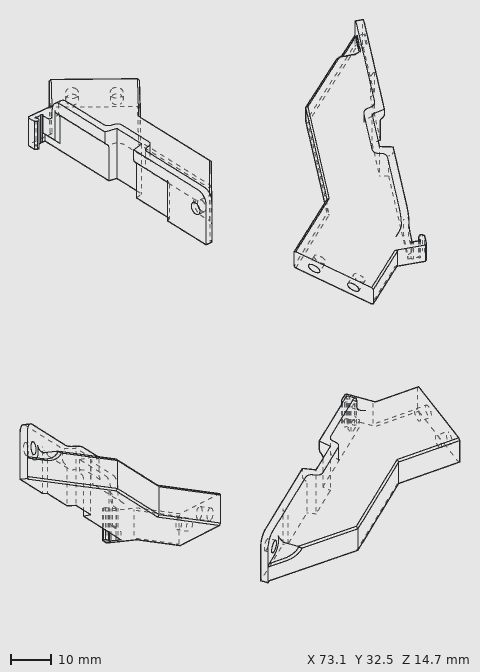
import cadquery as cq
import math

LENGTH = 73.05
WIDTH = 32.5
HEIGHT = 14.7

PLATE_HEIGHT = 8.2
EDGE_CHAMFER = 0.5
ARM_ANGLE = math.radians(40)
ARM_WIDTH = 22.35
BACK_Y = 21.55
BACK_END_X = 54.1

WALL_FRONT_Y = 3.35
WALL_THICKNESS = 2.0
WALL_BACK_Y = WALL_FRONT_Y + WALL_THICKNESS
WALL_START_X = 15.05
WALL_CORNER_RADIUS = 3.0
FOOT_RADIUS = 2.0
NOTCH_CENTER_X = 40.3
NOTCH_MOUTH_WIDTH = 10.9
NOTCH_FLOOR_WIDTH = 9.35
NOTCH_DEPTH = 3.3
NOTCH_FLOOR_Y = WALL_FRONT_Y + NOTCH_DEPTH
BUMP_RADIUS = 1.5

HOOK_LEFT_X = 9.6
HOOK_STEM_X = 11.1
HOOK_TIP_X = 12.7
HOOK_TIP_THICKNESS = 1.5
HOOK_LEFT_CHAMFER = 0.4
HOOK_TIP_CHAMFER = 0.5
RELIEF_DIAMETER = 0.5

HOLE_DIAMETER = 3.2
WALL_HOLE_X = 69.1
WALL_HOLE_Z = 8.8
CLEARANCE_RADIUS = 3.0
ARM_HOLE_SPACING = 11.0
ARM_HOLE_DEPTH = 3.0

RECESS_DEPTH = 1.1
RECESS_SIDE_DRAFT = 0.6
RECESS_LEFT_X = 16.1
RECESS_RIGHT_X = 58.6
RECESS_TOP = 11.9
RECESS_BLEND_HEIGHT = 2.2
CHANNEL_TOP = 3.15

FIT = 0.01

LEFT_TIP = (0, WIDTH - ARM_WIDTH * math.cos(ARM_ANGLE))
TOP_TIP = (ARM_WIDTH * math.sin(ARM_ANGLE), WIDTH)
ARM_ROOT = (TOP_TIP[0] + (WIDTH - BACK_Y) / math.tan(ARM_ANGLE), BACK_Y)
BACK_END = (BACK_END_X, BACK_Y)
RIGHT_TIP = (LENGTH, WALL_BACK_Y)
HOOK_SHOULDER = (HOOK_LEFT_X, LEFT_TIP[1] - HOOK_LEFT_X * math.tan(ARM_ANGLE))


def xz_sketch(y):
    """Sketch with local axes X and Z; a negative extrusion runs toward +Y."""
    return cq.Workplane("XZ", origin=(0, y, 0))


def clearance():
    """Round-bottomed space behind the wall hole, open toward the right tip."""
    reach = WALL_BACK_Y - BACK_Y
    width = LENGTH - WALL_HOLE_X
    floor_z = WALL_HOLE_Z - CLEARANCE_RADIUS
    round_end = (
        xz_sketch(WALL_BACK_Y)
        .center(WALL_HOLE_X, WALL_HOLE_Z)
        .circle(CLEARANCE_RADIUS)
        .extrude(reach)
    )
    open_end = (
        xz_sketch(WALL_BACK_Y)
        .moveTo(WALL_HOLE_X, floor_z)
        .rect(width, HEIGHT - floor_z, centered=False)
        .extrude(reach)
    )
    return round_end.union(open_end)


def lies_along(edge, start, end):
    """True for a level or curved edge in the upright side face from start to end."""
    center = edge.Center()
    run_x = end[0] - start[0]
    run_y = end[1] - start[1]
    offset = abs(run_x * (center.y - start[1]) - run_y * (center.x - start[0])) / math.hypot(run_x, run_y)
    inside = min(start[0], end[0]) < center.x < max(start[0], end[0])
    return offset < FIT and inside


def plate():
    """Flat body with the tilted arm, beveled along its left, arm and back sides."""
    outline = [
        LEFT_TIP,
        TOP_TIP,
        ARM_ROOT,
        BACK_END,
        RIGHT_TIP,
        (LENGTH, WALL_FRONT_Y),
        (HOOK_LEFT_X, WALL_FRONT_Y),
        HOOK_SHOULDER,
    ]
    body = cq.Workplane("XY").polyline(outline).close().extrude(PLATE_HEIGHT).cut(clearance())
    beveled_sides = [
        (HOOK_SHOULDER, LEFT_TIP),
        (TOP_TIP, ARM_ROOT),
        (ARM_ROOT, BACK_END),
        (BACK_END, RIGHT_TIP),
    ]
    edges = [
        edge
        for edge in body.edges().vals()
        if any(lies_along(edge, *side) for side in beveled_sides)
    ]
    return body.newObject(edges).chamfer(EDGE_CHAMFER)


def hook():
    """Forward-reaching stem with a short tip turned toward the wall's right end."""
    return (
        cq.Workplane("XY")
        .moveTo(HOOK_LEFT_X + HOOK_LEFT_CHAMFER, 0)
        .lineTo(HOOK_TIP_X - HOOK_TIP_CHAMFER, 0)
        .lineTo(HOOK_TIP_X, HOOK_TIP_CHAMFER)
        .lineTo(HOOK_TIP_X, HOOK_TIP_THICKNESS - HOOK_TIP_CHAMFER)
        .lineTo(HOOK_TIP_X - HOOK_TIP_CHAMFER, HOOK_TIP_THICKNESS)
        .lineTo(HOOK_STEM_X, HOOK_TIP_THICKNESS)
        .lineTo(HOOK_STEM_X, WALL_FRONT_Y)
        .lineTo(HOOK_LEFT_X, WALL_FRONT_Y)
        .lineTo(HOOK_LEFT_X, HOOK_LEFT_CHAMFER)
        .close()
        .extrude(PLATE_HEIGHT)
    )


def hook_reliefs():
    """Small round reliefs in the two inner corners of the hook."""
    corners = [(HOOK_STEM_X, HOOK_TIP_THICKNESS), (HOOK_STEM_X, WALL_FRONT_Y)]
    return cq.Workplane("XY").pushPoints(corners).circle(RELIEF_DIAMETER / 2).extrude(PLATE_HEIGHT)


def notch_sketch():
    """Trapezoid that opens toward the front of the wall."""
    return (
        cq.Workplane("XY")
        .moveTo(NOTCH_CENTER_X - NOTCH_MOUTH_WIDTH / 2, WALL_FRONT_Y)
        .lineTo(NOTCH_CENTER_X - NOTCH_FLOOR_WIDTH / 2, NOTCH_FLOOR_Y)
        .lineTo(NOTCH_CENTER_X + NOTCH_FLOOR_WIDTH / 2, NOTCH_FLOOR_Y)
        .lineTo(NOTCH_CENTER_X + NOTCH_MOUTH_WIDTH / 2, WALL_FRONT_Y)
        .close()
    )


def foot_profile(plane, wall_offset=0):
    """Concave foot section; local X points away from the wall and local Y points up."""
    overlap = FOOT_RADIUS / 4
    bend = FOOT_RADIUS * (1 - math.sqrt(0.5))
    return (
        cq.Workplane(plane)
        .moveTo(wall_offset - overlap, 0)
        .lineTo(wall_offset + FOOT_RADIUS, 0)
        .threePointArc((wall_offset + bend, bend), (wall_offset, FOOT_RADIUS))
        .lineTo(wall_offset - overlap, FOOT_RADIUS)
        .close()
    )


def foot_run(start, end):
    """Foot along a straight stretch of wall, on the left hand when going from start to end."""
    run_x = end[0] - start[0]
    run_y = end[1] - start[1]
    plane = cq.Plane(origin=(*start, PLATE_HEIGHT), xDir=(-run_y, run_x, 0), normal=(run_x, run_y, 0))
    return foot_profile(plane).extrude(math.hypot(run_x, run_y))


def bump_foot():
    """Right half of the foot around the bump: straight back, corner, sloping side and inner bend."""
    turn = math.atan2(2 * NOTCH_DEPTH, NOTCH_MOUTH_WIDTH - NOTCH_FLOOR_WIDTH)
    out_x = math.sin(turn)
    out_y = math.cos(turn)
    bend_inset = WALL_THICKNESS - BUMP_RADIUS
    bend_x = NOTCH_CENTER_X + NOTCH_FLOOR_WIDTH / 2 + bend_inset * math.tan(turn / 2)
    bend_y = NOTCH_FLOOR_Y + bend_inset
    mouth_end_x = NOTCH_CENTER_X + NOTCH_MOUTH_WIDTH / 2

    back_y = bend_y + BUMP_RADIUS
    back = foot_run((NOTCH_CENTER_X, back_y), (bend_x, back_y))
    side = foot_run(
        (bend_x + BUMP_RADIUS * out_x, bend_y + BUMP_RADIUS * out_y),
        (mouth_end_x + WALL_THICKNESS * out_x, WALL_FRONT_Y + WALL_THICKNESS * out_y),
    )
    corner_plane = cq.Plane(
        origin=(bend_x, bend_y, PLATE_HEIGHT),
        xDir=(out_x, out_y, 0),
        normal=(out_y, -out_x, 0),
    )
    corner = foot_profile(corner_plane, BUMP_RADIUS).revolve(math.degrees(turn), (0, 0), (0, 1))

    slide = (bend_y + 2 * BUMP_RADIUS * out_y - WALL_BACK_Y - BUMP_RADIUS) / out_x
    root_plane = cq.Plane(
        origin=(
            bend_x + 2 * BUMP_RADIUS * out_x + slide * out_y,
            WALL_BACK_Y + BUMP_RADIUS,
            PLATE_HEIGHT,
        ),
        xDir=(-out_x, -out_y, 0),
        normal=(-out_y, out_x, 0),
    )
    height_at_axis = FOOT_RADIUS - math.sqrt(FOOT_RADIUS**2 - (FOOT_RADIUS - BUMP_RADIUS) ** 2)
    root = (
        cq.Workplane(root_plane)
        .lineTo(BUMP_RADIUS, 0)
        .lineTo(BUMP_RADIUS, FOOT_RADIUS)
        .radiusArc((0, height_at_axis), FOOT_RADIUS)
        .close()
        .revolve(math.degrees(turn), (0, 0), (0, 1))
    )
    return back.union(side).union(corner).union(root)


def foot():
    """Fillet between the plate and the back of the wall."""
    back = foot_run((WALL_START_X - FOOT_RADIUS, WALL_BACK_Y), (LENGTH, WALL_BACK_Y))
    right_half = bump_foot()
    left_half = right_half.mirror("YZ", (NOTCH_CENTER_X, 0, 0))
    return back.union(right_half).union(left_half).cut(clearance())


def wall_silhouette():
    """Front outline of the wall: rounded upper corners and a flared foot at the left end."""
    foot_x = WALL_START_X - FOOT_RADIUS
    foot_top = PLATE_HEIGHT + FOOT_RADIUS
    shoulder_z = HEIGHT - WALL_CORNER_RADIUS
    depth = NOTCH_FLOOR_Y + WALL_THICKNESS + FOOT_RADIUS - WALL_FRONT_Y
    return (
        xz_sketch(WALL_FRONT_Y)
        .moveTo(foot_x, 0)
        .lineTo(foot_x, PLATE_HEIGHT)
        .radiusArc((WALL_START_X, foot_top), -FOOT_RADIUS)
        .lineTo(WALL_START_X, shoulder_z)
        .radiusArc((WALL_START_X + WALL_CORNER_RADIUS, HEIGHT), WALL_CORNER_RADIUS)
        .lineTo(LENGTH - WALL_CORNER_RADIUS, HEIGHT)
        .radiusArc((LENGTH, shoulder_z), WALL_CORNER_RADIUS)
        .lineTo(LENGTH, 0)
        .close()
        .extrude(-depth)
    )


def wall():
    """Upright wall of even thickness that bulges backward around the notch."""
    strip = (
        cq.Workplane("XY")
        .moveTo(WALL_START_X - FOOT_RADIUS, WALL_FRONT_Y)
        .rect(LENGTH - WALL_START_X + FOOT_RADIUS, WALL_THICKNESS, centered=False)
        .extrude(HEIGHT)
    )
    bump = notch_sketch().offset2D(WALL_THICKNESS, "intersection").extrude(HEIGHT)
    below_strip = cq.Workplane("XY").rect(LENGTH * 2, WALL_FRONT_Y * 2).extrude(HEIGHT)
    body = strip.union(bump.cut(below_strip))
    bump_corners = cq.selectors.BoxSelector(
        (NOTCH_CENTER_X - NOTCH_MOUTH_WIDTH, WALL_BACK_Y - FIT, 0),
        (NOTCH_CENTER_X + NOTCH_MOUTH_WIDTH, NOTCH_FLOOR_Y + WALL_THICKNESS + FIT, HEIGHT),
    )
    body = body.edges("|Z").edges(bump_corners).fillet(BUMP_RADIUS)
    return body.union(foot()).intersect(wall_silhouette())


def recess():
    """Recess open at the bottom, with an S-shaped top and drafted ends."""
    floor_y = WALL_FRONT_Y + RECESS_DEPTH
    middle = ((WALL_FRONT_Y + floor_y) / 2, RECESS_TOP - RECESS_BLEND_HEIGHT / 2)
    blend_radius = (RECESS_DEPTH**2 + RECESS_BLEND_HEIGHT**2) / (4 * RECESS_DEPTH)
    section = (
        cq.Workplane("YZ")
        .moveTo(WALL_FRONT_Y, 0)
        .lineTo(WALL_FRONT_Y, RECESS_TOP)
        .radiusArc(middle, -blend_radius)
        .radiusArc((floor_y, RECESS_TOP - RECESS_BLEND_HEIGHT), blend_radius)
        .lineTo(floor_y, 0)
        .close()
        .extrude(LENGTH)
    )
    ends = (
        cq.Workplane("XY")
        .moveTo(RECESS_LEFT_X, WALL_FRONT_Y)
        .lineTo(RECESS_LEFT_X + RECESS_SIDE_DRAFT, floor_y)
        .lineTo(RECESS_RIGHT_X - RECESS_SIDE_DRAFT, floor_y)
        .lineTo(RECESS_RIGHT_X, WALL_FRONT_Y)
        .close()
        .extrude(HEIGHT)
    )
    return section.intersect(ends)


def low_channel():
    """Channel from the hook to the recess, with a 45-degree upper side."""
    floor_y = WALL_FRONT_Y + RECESS_DEPTH
    return (
        cq.Workplane("YZ", origin=(HOOK_STEM_X, 0, 0))
        .moveTo(WALL_FRONT_Y, 0)
        .lineTo(WALL_FRONT_Y, CHANNEL_TOP)
        .lineTo(floor_y, CHANNEL_TOP - RECESS_DEPTH)
        .lineTo(floor_y, 0)
        .close()
        .extrude(RECESS_LEFT_X + RECESS_SIDE_DRAFT - HOOK_STEM_X)
    )


def wall_hole():
    return (
        xz_sketch(WALL_FRONT_Y)
        .center(WALL_HOLE_X, WALL_HOLE_Z)
        .circle(HOLE_DIAMETER / 2)
        .extrude(-WALL_THICKNESS)
    )


def arm_holes():
    """Two blind holes in the tilted end face of the arm."""
    middle = ((LEFT_TIP[0] + TOP_TIP[0]) / 2, (LEFT_TIP[1] + TOP_TIP[1]) / 2, PLATE_HEIGHT / 2)
    plane = cq.Plane(
        origin=middle,
        xDir=(math.sin(ARM_ANGLE), math.cos(ARM_ANGLE), 0),
        normal=(math.cos(ARM_ANGLE), -math.sin(ARM_ANGLE), 0),
    )
    centers = [(-ARM_HOLE_SPACING / 2, 0), (ARM_HOLE_SPACING / 2, 0)]
    return cq.Workplane(plane).pushPoints(centers).circle(HOLE_DIAMETER / 2).extrude(ARM_HOLE_DEPTH)


result = (
    plate()
    .union(wall())
    .union(hook())
    .cut(notch_sketch().extrude(HEIGHT))
    .cut(hook_reliefs())
    .cut(recess())
    .cut(low_channel())
    .cut(wall_hole())
    .cut(arm_holes())
)